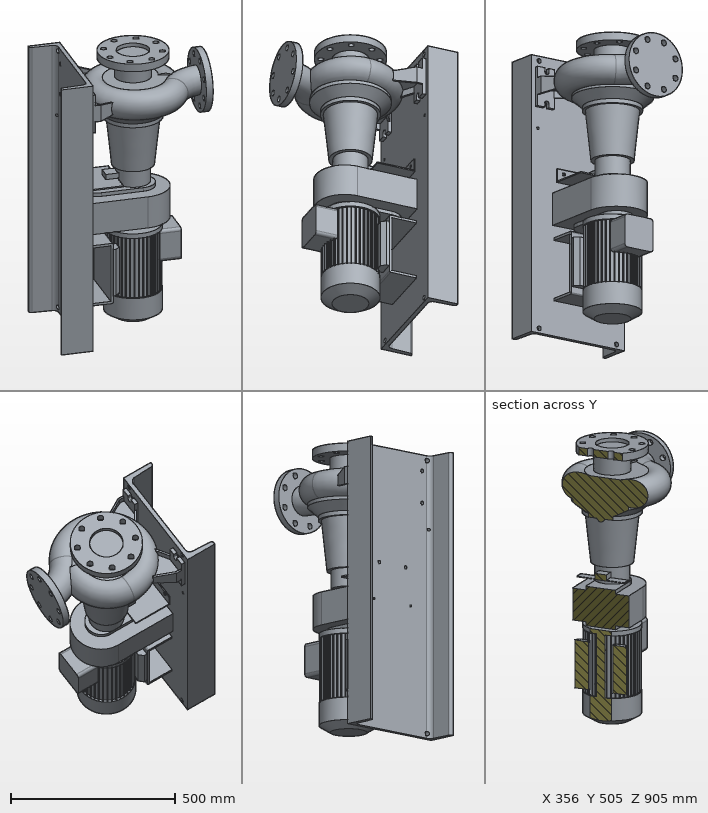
import cadquery as cq
import math

SHAFT_HEIGHT = 180.0
MOUNT_Y = -SHAFT_HEIGHT

FRAME_LENGTH = 880.0
FRAME_WIDTH = 350.0
FRAME_DEPTH = 100.0
WEB_THICKNESS = 14.0
FLANGE_THICKNESS = 16.0
FLANGE_TAPER = 0.05
ROOT_RADIUS = 16.0
TIP_RADIUS = 8.0
ANCHOR_DIAMETER = 14.0
ANCHOR_X = 145.0
ANCHOR_END_DISTANCE = 15.0
EDGE_HOLE_DIAMETER = 8.0
EDGE_HOLE_X = 150.0
EDGE_HOLE_Z = 650.0

OVERALL_HEIGHT = 905.0
SUCTION_LENGTH = 125.0
VOLUTE_Z = OVERALL_HEIGHT - SUCTION_LENGTH
DISCHARGE_HEIGHT = 225.0
TUBE_RADIUS = 46.0
VOLUTE_CENTER_X = 14.5
VOLUTE_RADIUS = 120.5
INNER_ARC_RADIUS = 101.0
INNER_ARC_SWEEP = 108.0
HUB_RADIUS = 110.0
HUB_TOP_Z = 820.0

BOLT_COUNT = 8
BOLT_HOLE_DIAMETER = 18.0
SUCTION_DIAMETER = 220.0
SUCTION_THICKNESS = 25.0
SUCTION_PITCH_DIAMETER = 180.0
SUCTION_NECK_RADIUS = 57.0
SUCTION_BORE_DIAMETER = 102.0
SUCTION_BORE_DEPTH = 12.0
DISCHARGE_DIAMETER = 200.0
DISCHARGE_THICKNESS = 22.0
DISCHARGE_PITCH_DIAMETER = 160.0

BACK_PLATE_RADIUS = 125.0
COLLAR_RADIUS = 92.0
HOUSING_TOP_RADIUS = 83.0
HOUSING_BOTTOM_RADIUS = 66.0
NOSE_RADIUS = 54.0
PUMP_SHAFT_RADIUS = 16.0
BACK_PLATE_TOP_Z = 740.0
BACK_PLATE_Z = 727.0
COLLAR_TOP_Z = 699.0
COLLAR_Z = 686.0
HOUSING_Z = 529.0
NOSE_Z = 472.0

FOOT_OUTER_X = 160.0
FOOT_INNER_X = 96.0
FOOT_PAD_THICKNESS = 12.0
FOOT_PAD_LENGTH = 125.0
FOOT_WALL = 6.0
FOOT_WEB_THICKNESS = 12.0
FOOT_KNEE_Y = -150.0
FOOT_INNER_KNEE_Y = -174.0
FOOT_TOP = (112.0, -58.0)
FOOT_INNER_TOP = (40.0, -138.0)
FOOT_HALF_DEPTH = 27.0
FOOT_TOP_HALF_DEPTH = 12.0
FOOT_HOLE_X = 125.0
FOOT_HOLE_SPACING = 100.0
FOOT_HOLE_DIAMETER = 11.0
FOOT_SLOT_WIDTH = 15.0

SUPPORT_WIDTH = 160.0
SUPPORT_SHEET = 4.0
SUPPORT_Z = 490.0
SUPPORT_LEG_HEIGHT = 43.0
SUPPORT_HOLE_X = 55.0
SUPPORT_HOLE_Z = 519.0
SUPPORT_HOLE_DIAMETER = 10.0
LUG_WIDTH = 40.0
LUG_HEIGHT = 17.0
LUG_END_Y = -92.5

GUARD_Z = 351.0
GUARD_LENGTH = 103.0
GUARD_RADIUS = 95.0
GUARD_CENTER_Y = 19.0
RIM_LENGTH = 12.0
RIM_RADIUS = 50.0
RIM_LOWER_CENTER_Y = -116.0
GUARD_HOLE_X = 77.0
GUARD_HOLE_DIAMETER = 6.0
GUARD_HOLE_DEPTH = 10.0

MOTOR_RADIUS = 90.0
MOTOR_SHAFT_RADIUS = 13.0
MOTOR_FLANGE_TOP_Z = 333.0
MOTOR_FLANGE_Z = 317.5
FIN_RADIUS = 89.0
FIN_ROOT_RADIUS = 83.0
FIN_COUNT = 40
FIN_THICKNESS = 2.5
FAN_COVER_TOP_Z = 118.5
FAN_COVER_Z = 48.0
FAN_COVER_END_Z = 27.0
FAN_COVER_END_RADIUS = 56.0
TERMINAL_BOX_WIDTH = 106.0
TERMINAL_BOX_LENGTH = 105.0
TERMINAL_BOX_BASE_Y = 50.0
TERMINAL_BOX_TOP_Y = 138.0
TERMINAL_BOX_TOP_Z = 318.5
TERMINAL_BOX_RADIUS = 10.0
MOTOR_FOOT_Z = 136.0
MOTOR_FOOT_LENGTH = 154.0
MOTOR_FOOT_OUTER_X = 88.0
MOTOR_FOOT_SHOULDER_X = 75.0
MOTOR_FOOT_INNER_X = 40.0
MOTOR_FOOT_THICKNESS = 10.0
MOTOR_FOOT_HEIGHT = 24.0

STAND_Z = 112.0
STAND_LENGTH = 200.0
STAND_WIDTH = 180.0
STAND_SHEET = 8.0
STAND_BEND_RADIUS = 4.0

SIDES = (-1, 1)


def cylinder_z(radius, bottom, top):
    return cq.Workplane("XY", origin=(0, 0, bottom)).circle(radius).extrude(top - bottom)


def block(x_range, y_range, z_range):
    """Box between the given limits."""
    ranges = (x_range, y_range, z_range)
    sizes = [high - low for low, high in ranges]
    corner = cq.Vector(*[limits[0] for limits in ranges])
    return cq.Workplane("XY").box(*sizes, centered=False).translate(corner)


def holes_along_y(positions, diameter, start_y, depth):
    """Drills running from start_y towards -Y at the given (X, Z) positions."""
    return (
        cq.Workplane("XZ", origin=(0, start_y, 0))
        .pushPoints(positions)
        .circle(diameter / 2)
        .extrude(depth)
    )


def mirrored_pair(x, z):
    return [(side * x, z) for side in SIDES]


def foot_hole_positions():
    positions = []
    for end in SIDES:
        positions += mirrored_pair(FOOT_HOLE_X, VOLUTE_Z + end * FOOT_HOLE_SPACING / 2)
    return positions


def bolt_circle(plane, origin, pitch_diameter, depth):
    half_step = 180.0 / BOLT_COUNT
    return (
        cq.Workplane(plane, origin=origin)
        .polarArray(pitch_diameter / 2, half_step, 360, BOLT_COUNT)
        .circle(BOLT_HOLE_DIAMETER / 2)
        .extrude(-depth)
    )


def make_frame():
    half_width = FRAME_WIDTH / 2
    web_y = MOUNT_Y - WEB_THICKNESS
    tip_y = MOUNT_Y - FRAME_DEPTH
    taper_rise = FLANGE_TAPER * FRAME_DEPTH / 2
    tip_x = half_width - FLANGE_THICKNESS + taper_rise
    root_x = half_width - FLANGE_THICKNESS - taper_rise + FLANGE_TAPER * WEB_THICKNESS
    frame = (
        cq.Workplane("XY")
        .moveTo(-half_width, MOUNT_Y)
        .lineTo(half_width, MOUNT_Y)
        .lineTo(half_width, tip_y)
        .lineTo(tip_x, tip_y)
        .lineTo(root_x, web_y)
        .lineTo(-root_x, web_y)
        .lineTo(-tip_x, tip_y)
        .lineTo(-half_width, tip_y)
        .close()
        .extrude(FRAME_LENGTH)
    )
    tolerance = 1.0
    for side in SIDES:
        root = cq.selectors.BoxSelector(
            (side * root_x - tolerance, web_y - tolerance, 0),
            (side * root_x + tolerance, web_y + tolerance, FRAME_LENGTH),
        )
        frame = frame.edges("|Z").edges(root).fillet(ROOT_RADIUS)
        tip = cq.selectors.BoxSelector(
            (side * tip_x - tolerance, tip_y - tolerance, 0),
            (side * tip_x + tolerance, tip_y + tolerance, FRAME_LENGTH),
        )
        frame = frame.edges("|Z").edges(tip).fillet(TIP_RADIUS)

    drill_depth = WEB_THICKNESS + ROOT_RADIUS
    anchors = mirrored_pair(ANCHOR_X, ANCHOR_END_DISTANCE)
    anchors += mirrored_pair(ANCHOR_X, FRAME_LENGTH - ANCHOR_END_DISTANCE)
    guard_middle_z = GUARD_Z + GUARD_LENGTH / 2
    drillings = [
        (anchors, ANCHOR_DIAMETER),
        (foot_hole_positions(), FOOT_HOLE_DIAMETER),
        (mirrored_pair(EDGE_HOLE_X, EDGE_HOLE_Z), EDGE_HOLE_DIAMETER),
        (mirrored_pair(SUPPORT_HOLE_X, SUPPORT_HOLE_Z), SUPPORT_HOLE_DIAMETER),
        (mirrored_pair(GUARD_HOLE_X, guard_middle_z), GUARD_HOLE_DIAMETER),
    ]
    for positions, diameter in drillings:
        frame = frame.cut(holes_along_y(positions, diameter, MOUNT_Y, drill_depth))
    return frame


def tube_arc(center, radius, start, sweep):
    """Round tube bent about a vertical line through center, from angle start over sweep degrees."""
    return (
        cq.Workplane("XZ")
        .moveTo(radius, 0)
        .circle(TUBE_RADIUS)
        .revolve(sweep, (0, 0), (0, 1))
        .rotate((0, 0, 0), (0, 0, 1), start)
        .translate((center[0], center[1], VOLUTE_Z))
    )


def make_volute():
    """Spiral tube: a closing arc, a large arc and a reversed arc that ends square to the discharge."""
    reverse_radius = (VOLUTE_CENTER_X**2 + DISCHARGE_HEIGHT**2 - VOLUTE_RADIUS**2) / (
        2 * (VOLUTE_RADIUS + VOLUTE_CENTER_X)
    )
    turn = math.degrees(math.atan2(DISCHARGE_HEIGHT, reverse_radius - VOLUTE_CENTER_X))
    large_arc = tube_arc((VOLUTE_CENTER_X, 0), VOLUTE_RADIUS, 180, 180 + turn)
    reverse_arc = tube_arc((reverse_radius, DISCHARGE_HEIGHT), reverse_radius, 180, turn)
    inner_center_x = VOLUTE_CENTER_X - VOLUTE_RADIUS + INNER_ARC_RADIUS
    closing_arc = tube_arc((inner_center_x, 0), INNER_ARC_RADIUS, 180 - INNER_ARC_SWEEP, INNER_ARC_SWEEP)
    hub = cylinder_z(HUB_RADIUS, BACK_PLATE_TOP_Z, HUB_TOP_Z).translate((VOLUTE_CENTER_X, 0, 0))
    return large_arc.union(closing_arc).union(hub).union(reverse_arc)


def make_bearing_housing():
    """Turned housing with its shaft end, which stops at the coupling guard."""
    shaft_end_z = GUARD_Z + GUARD_LENGTH + RIM_LENGTH
    profile = [
        (0, BACK_PLATE_TOP_Z),
        (BACK_PLATE_RADIUS, BACK_PLATE_TOP_Z),
        (BACK_PLATE_RADIUS, BACK_PLATE_Z),
        (COLLAR_RADIUS, COLLAR_TOP_Z),
        (COLLAR_RADIUS, COLLAR_Z),
        (HOUSING_TOP_RADIUS, COLLAR_Z),
        (HOUSING_BOTTOM_RADIUS, HOUSING_Z),
        (NOSE_RADIUS, HOUSING_Z),
        (NOSE_RADIUS, NOSE_Z),
        (PUMP_SHAFT_RADIUS, NOSE_Z),
        (PUMP_SHAFT_RADIUS, shaft_end_z),
        (0, shaft_end_z),
    ]
    return cq.Workplane("XZ").polyline(profile).close().revolve(360, (0, 0), (0, 1))


def make_foot():
    """Foot on the +X side: slotted pad, outer and inner walls, and a web between the walls."""
    pad_top_y = MOUNT_Y + FOOT_PAD_THICKNESS
    half_pad = FOOT_PAD_LENGTH / 2
    outer = [(FOOT_OUTER_X, MOUNT_Y), (FOOT_OUTER_X, FOOT_KNEE_Y), FOOT_TOP]
    inner = [FOOT_INNER_TOP, (FOOT_INNER_X, FOOT_INNER_KNEE_Y), (FOOT_INNER_X, MOUNT_Y)]
    corners = outer + inner
    ribs = cq.Workplane("XY").polyline(corners).close().extrude(FOOT_HALF_DEPTH, both=True)
    web = cq.Workplane("XY").polyline(corners).close().extrude(FOOT_WEB_THICKNESS / 2, both=True)
    pocket = (
        cq.Workplane("XY").polyline(corners).close().offset2D(-FOOT_WALL).extrude(FOOT_HALF_DEPTH, both=True)
    )
    taper = (
        cq.Workplane("YZ")
        .polyline([
            (MOUNT_Y, FOOT_HALF_DEPTH),
            (FOOT_KNEE_Y, FOOT_HALF_DEPTH),
            (FOOT_TOP[1], FOOT_TOP_HALF_DEPTH),
            (FOOT_TOP[1], -FOOT_TOP_HALF_DEPTH),
            (FOOT_KNEE_Y, -FOOT_HALF_DEPTH),
            (MOUNT_Y, -FOOT_HALF_DEPTH),
        ])
        .close()
        .extrude(FOOT_OUTER_X)
    )
    pad = block((FOOT_INNER_X, FOOT_OUTER_X), (MOUNT_Y, pad_top_y), (-half_pad, half_pad))
    foot = ribs.cut(pocket).intersect(taper).union(web).union(pad)
    half_slot = FOOT_SLOT_WIDTH / 2
    for end in SIDES:
        hole_z = end * FOOT_HOLE_SPACING / 2
        z_range = sorted((hole_z, end * half_pad))
        slot = block((FOOT_HOLE_X - half_slot, FOOT_HOLE_X + half_slot), (MOUNT_Y, pad_top_y), z_range)
        slot_end = holes_along_y([(FOOT_HOLE_X, hole_z)], FOOT_SLOT_WIDTH, pad_top_y, FOOT_PAD_THICKNESS)
        foot = foot.cut(slot).cut(slot_end)
    return foot.translate((0, 0, VOLUTE_Z))


def make_support():
    """Angle of thin sheet from the bearing housing to the frame, with a lug at the housing."""
    half_width = SUPPORT_WIDTH / 2
    sheet_top = SUPPORT_Z + SUPPORT_SHEET
    sheet = block((-half_width, half_width), (MOUNT_Y, -NOSE_RADIUS), (SUPPORT_Z, sheet_top))
    leg = block(
        (-half_width, half_width),
        (MOUNT_Y, MOUNT_Y + SUPPORT_SHEET),
        (SUPPORT_Z, SUPPORT_Z + SUPPORT_LEG_HEIGHT),
    )
    leg_holes = holes_along_y(
        mirrored_pair(SUPPORT_HOLE_X, SUPPORT_HOLE_Z),
        SUPPORT_HOLE_DIAMETER,
        MOUNT_Y + SUPPORT_SHEET,
        SUPPORT_SHEET,
    )
    lug = block((-LUG_WIDTH / 2, LUG_WIDTH / 2), (LUG_END_Y, 0), (sheet_top, sheet_top + LUG_HEIGHT))
    return sheet.union(leg).cut(leg_holes).union(lug)


def make_pump():
    suction_flange_z = OVERALL_HEIGHT - SUCTION_THICKNESS
    discharge_face = (0, DISCHARGE_HEIGHT, VOLUTE_Z)
    suction_neck = cylinder_z(SUCTION_NECK_RADIUS, VOLUTE_Z, suction_flange_z)
    suction_flange = cylinder_z(SUCTION_DIAMETER / 2, suction_flange_z, OVERALL_HEIGHT)
    discharge_flange = (
        cq.Workplane("XZ", origin=discharge_face).circle(DISCHARGE_DIAMETER / 2).extrude(DISCHARGE_THICKNESS)
    )
    foot = make_foot()
    pump = make_volute().union(make_bearing_housing())
    pump = pump.union(suction_neck).union(suction_flange).union(discharge_flange)
    pump = pump.union(foot).union(foot.mirror("YZ")).union(make_support())
    bore = cylinder_z(SUCTION_BORE_DIAMETER / 2, OVERALL_HEIGHT - SUCTION_BORE_DEPTH, OVERALL_HEIGHT)
    suction_bolts = bolt_circle("XY", (0, 0, OVERALL_HEIGHT), SUCTION_PITCH_DIAMETER, SUCTION_THICKNESS)
    discharge_bolts = bolt_circle("XZ", discharge_face, DISCHARGE_PITCH_DIAMETER, -DISCHARGE_THICKNESS)
    return pump.cut(bore).cut(suction_bolts).cut(discharge_bolts)


def make_guard():
    """Arched hood standing on the frame, with a raised round-ended rim on both ends."""
    hood = cylinder_z(GUARD_RADIUS, GUARD_Z, GUARD_Z + GUARD_LENGTH).translate((0, GUARD_CENTER_Y, 0))
    hood = hood.union(
        block((-GUARD_RADIUS, GUARD_RADIUS), (MOUNT_Y, GUARD_CENTER_Y), (GUARD_Z, GUARD_Z + GUARD_LENGTH))
    )
    rim_middle_y = (GUARD_CENTER_Y + RIM_LOWER_CENTER_Y) / 2
    rim_height = GUARD_CENTER_Y - RIM_LOWER_CENTER_Y + 2 * RIM_RADIUS
    rims = (
        cq.Workplane("XY", origin=(0, rim_middle_y, GUARD_Z - RIM_LENGTH))
        .slot2D(rim_height, 2 * RIM_RADIUS, 90)
        .extrude(GUARD_LENGTH + 2 * RIM_LENGTH)
    )
    screw_holes = holes_along_y(
        mirrored_pair(GUARD_HOLE_X, GUARD_Z + GUARD_LENGTH / 2),
        GUARD_HOLE_DIAMETER,
        MOUNT_Y + GUARD_HOLE_DEPTH,
        GUARD_HOLE_DEPTH,
    )
    return hood.union(rims).cut(screw_holes)


def make_motor():
    """Finned motor with terminal box and feet; its shaft end stops at the coupling guard."""
    shaft = cylinder_z(MOTOR_SHAFT_RADIUS, MOTOR_FLANGE_Z, GUARD_Z - RIM_LENGTH)
    flange = cylinder_z(MOTOR_RADIUS, MOTOR_FLANGE_Z, MOTOR_FLANGE_TOP_Z)
    fan_cover = cylinder_z(MOTOR_RADIUS, FAN_COVER_Z, FAN_COVER_TOP_Z)
    cover_end = (
        cq.Workplane("XY", origin=(0, 0, FAN_COVER_END_Z))
        .circle(FAN_COVER_END_RADIUS)
        .workplane(offset=FAN_COVER_Z - FAN_COVER_END_Z)
        .circle(MOTOR_RADIUS)
        .loft()
    )
    frame_length = MOTOR_FLANGE_Z - FAN_COVER_TOP_Z
    fin_height = FIN_RADIUS - FIN_ROOT_RADIUS
    fins = (
        cq.Workplane("XY", origin=(0, 0, FAN_COVER_TOP_Z))
        .polarArray(FIN_ROOT_RADIUS, 180.0 / FIN_COUNT, 360, FIN_COUNT)
        .rect(2 * fin_height, FIN_THICKNESS)
        .extrude(frame_length)
    )
    finned_frame = cylinder_z(FIN_ROOT_RADIUS, FAN_COVER_TOP_Z, MOTOR_FLANGE_Z).union(fins)
    box_z = (TERMINAL_BOX_TOP_Z - TERMINAL_BOX_LENGTH, TERMINAL_BOX_TOP_Z)
    box_x = (-TERMINAL_BOX_WIDTH / 2, TERMINAL_BOX_WIDTH / 2)
    terminal_box = block(box_x, (TERMINAL_BOX_BASE_Y, TERMINAL_BOX_TOP_Y), box_z)
    terminal_box = terminal_box.edges("|Y").fillet(TERMINAL_BOX_RADIUS)
    foot_base_y = -MOTOR_RADIUS
    foot_top_y = foot_base_y + MOTOR_FOOT_HEIGHT
    foot_outline = [
        (MOTOR_FOOT_OUTER_X, foot_base_y),
        (MOTOR_FOOT_OUTER_X, foot_base_y + MOTOR_FOOT_THICKNESS),
        (MOTOR_FOOT_SHOULDER_X, foot_top_y),
        (MOTOR_FOOT_INNER_X, foot_top_y),
        (MOTOR_FOOT_INNER_X, foot_base_y),
    ]
    foot = (
        cq.Workplane("XY", origin=(0, 0, MOTOR_FOOT_Z))
        .polyline(foot_outline)
        .close()
        .extrude(MOTOR_FOOT_LENGTH)
    )
    motor = finned_frame.union(flange).union(shaft).union(fan_cover).union(cover_end)
    return motor.union(terminal_box).union(foot).union(foot.mirror("YZ"))


def make_stand():
    """Bent sheet bridge that carries the motor feet."""
    half_width = STAND_WIDTH / 2
    top_y = -MOTOR_RADIUS
    stand_top_z = STAND_Z + STAND_LENGTH
    bridge = block((-half_width, half_width), (MOUNT_Y, top_y), (STAND_Z, stand_top_z))
    bridge = bridge.edges("|X and >Y").fillet(STAND_BEND_RADIUS)
    opening = block(
        (-half_width, half_width),
        (MOUNT_Y, top_y - STAND_SHEET),
        (STAND_Z + STAND_SHEET, stand_top_z - STAND_SHEET),
    )
    return bridge.cut(opening)


frame = make_frame()
pump = make_pump()
guard = make_guard()
motor = make_motor()
stand = make_stand()

result = cq.Compound.makeCompound([frame.val(), pump.val(), guard.val(), motor.val(), stand.val()])